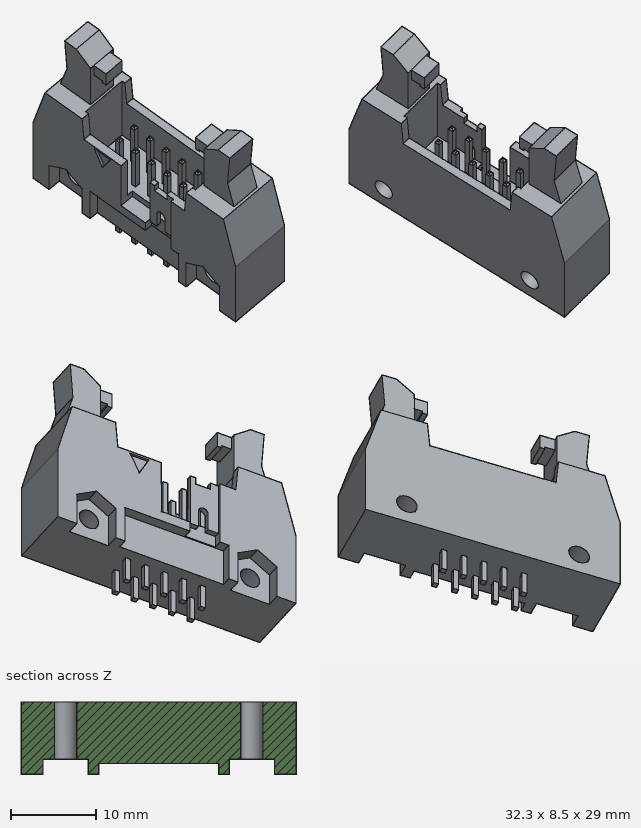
import cadquery as cq
import math

body_length = 32.3
body_depth = 8.5
front_y = -body_depth / 2
shoulder_z = 17.35
wall_top_z = 13.8
taper_start_z = 10.15
tower_outer_x = 14.2
tower_inner_x = 8.3
gap_bottom_x = 8.0

cavity_length = 17.5
cavity_width = 6.3
cavity_floor_z = 7.4
cavity_front_y = -cavity_width / 2

key_width = 4.2
key_bottom_z = 6.45
key_back_y = -2.3
relief_left_x = 1.77
relief_right_x = 5.85
flap_bottom_z = 6.65
flap_front_y = -3.82
flap_notch_left_x = 2.83
flap_notch_right_x = 4.8
flap_notch_bottom_z = 12.87
flap_slot_x = 3.84
flap_slot_width = 1.27
flap_slot_crown_z = 9.63
flap_slot_side_z = flap_slot_crown_z - flap_slot_width / 2
base_relief_length = 14.05
base_relief_top_z = 5.05
base_relief_depth = 1.25

mount_x = 10.92
mount_z = 2.9
mount_hole_diameter = 2.6
nut_flats = 5.26
nut_slot_depth = 1.75

pitch = 2.54
columns = 5
pin_size = 0.64
pin_bottom_z = -3.2
pin_top_z = 13.7
pin_tip_inset = 0.2

mark_x = -pitch * (columns - 1) / 2
mark_width = 2.56
mark_top_z = 13.5
mark_bottom_z = 11.05
mark_depth = 0.3

latch_top_z = 25.75
latch_width = 4.0
latch_inner_x = 9.05
latch_base_x = 13.83
latch_waist_x = 12.8
latch_waist_z = 20.85
latch_top_outer_x = 13.15
latch_top_inner_x = 11.3
hook_width = 2.8
hook_top_z = 24.05
hook_tip_x = 7.12
hook_underside_z = 22.3
lip_x = 7.75
lip_bottom_z = 22.0


def box(x_range, y_range, z_range):
    """Axis-aligned box between the given limits."""
    lengths = [high - low for low, high in (x_range, y_range, z_range)]
    corner = (x_range[0], y_range[0], z_range[0])
    return cq.Workplane("XY").box(*lengths, centered=False).translate(corner)


def prism(points, y_start, y_end):
    """Extrude an XZ outline from y_start to y_end."""
    plane = cq.Workplane("XZ", origin=(0, y_end, 0))
    return plane.polyline(points).close().extrude(y_end - y_start)


def mirrored_pair(shape):
    """A shape together with its mirror image across the YZ plane."""
    return shape.union(shape.mirror("YZ"))


def make_housing():
    right_side = [
        (body_length / 2, 0),
        (body_length / 2, taper_start_z),
        (tower_outer_x, shoulder_z),
        (tower_inner_x, shoulder_z),
        (gap_bottom_x, wall_top_z),
    ]
    left_side = [(-x, z) for x, z in reversed(right_side)]
    housing = prism(right_side + left_side, front_y, -front_y)
    cavity = box(
        (-cavity_length / 2, cavity_length / 2),
        (cavity_front_y, -cavity_front_y),
        (cavity_floor_z, shoulder_z),
    )
    return housing.cut(cavity)


def make_key_slot():
    return box((-key_width / 2, key_width / 2), (front_y, key_back_y), (key_bottom_z, wall_top_z))


def make_flap_relief():
    """Front wall recess that leaves a thin flap beside the key slot, with its notch and arched slot."""
    below_flap = box(
        (relief_left_x, relief_right_x), (front_y, cavity_front_y), (base_relief_top_z, flap_bottom_z)
    )
    over_flap = box(
        (key_width / 2, relief_right_x), (front_y, flap_front_y), (flap_bottom_z, wall_top_z)
    )
    notch = box(
        (flap_notch_left_x, flap_notch_right_x),
        (front_y, cavity_front_y),
        (flap_notch_bottom_z, wall_top_z),
    )
    slot_left_x = flap_slot_x - flap_slot_width / 2
    slot_right_x = flap_slot_x + flap_slot_width / 2
    slot = (
        cq.Workplane("XZ", origin=(0, cavity_front_y, 0))
        .moveTo(slot_left_x, flap_bottom_z)
        .lineTo(slot_left_x, flap_slot_side_z)
        .threePointArc((flap_slot_x, flap_slot_crown_z), (slot_right_x, flap_slot_side_z))
        .lineTo(slot_right_x, flap_bottom_z)
        .close()
        .extrude(cavity_front_y - front_y)
    )
    return below_flap.union(over_flap).union(notch).union(slot)


def make_base_relief():
    return box(
        (-base_relief_length / 2, base_relief_length / 2),
        (front_y, front_y + base_relief_depth),
        (0, base_relief_top_z),
    )


def make_mount():
    """Through hole and open-bottomed nut slot of the +X end."""
    half_flats = nut_flats / 2
    corner_radius = nut_flats / math.sqrt(3)
    corner_z = mount_z + corner_radius / 2
    slot_outline = [
        (mount_x - half_flats, 0),
        (mount_x - half_flats, corner_z),
        (mount_x, mount_z + corner_radius),
        (mount_x + half_flats, corner_z),
        (mount_x + half_flats, 0),
    ]
    nut_slot = prism(slot_outline, front_y, front_y + nut_slot_depth)
    hole = (
        cq.Workplane("XZ", origin=(mount_x, -front_y, mount_z))
        .circle(mount_hole_diameter / 2)
        .extrude(body_depth)
    )
    return nut_slot.union(hole)


def make_pin_mark():
    outline = [
        (mark_x - mark_width / 2, mark_top_z),
        (mark_x + mark_width / 2, mark_top_z),
        (mark_x, mark_bottom_z),
    ]
    return prism(outline, front_y, front_y + mark_depth)


def make_latch():
    """The +X latch: a waisted lever with a hook reaching inwards."""
    lever = prism(
        [
            (latch_inner_x, shoulder_z),
            (latch_base_x, shoulder_z),
            (latch_waist_x, latch_waist_z),
            (latch_top_outer_x, latch_top_z),
            (latch_top_inner_x, latch_top_z),
            (latch_inner_x, hook_top_z),
        ],
        -latch_width / 2,
        latch_width / 2,
    )
    hook = prism(
        [
            (latch_inner_x, hook_top_z),
            (hook_tip_x, hook_top_z),
            (hook_tip_x, lip_bottom_z),
            (lip_x, lip_bottom_z),
            (lip_x, hook_underside_z),
            (latch_inner_x, hook_underside_z),
        ],
        -hook_width / 2,
        hook_width / 2,
    )
    return lever.union(hook)


def make_pin(x, y):
    """Square pin through the cavity floor, bevelled at its upper tip."""
    return (
        cq.Workplane("XY", origin=(x, y, pin_bottom_z))
        .rect(pin_size, pin_size)
        .extrude(pin_top_z - pin_bottom_z)
        .faces(">Z")
        .chamfer(pin_tip_inset)
    )


result = make_housing()
result = result.cut(make_key_slot())
result = result.cut(make_flap_relief())
result = result.cut(make_base_relief())
result = result.cut(mirrored_pair(make_mount()))
result = result.cut(make_pin_mark())
result = result.union(mirrored_pair(make_latch()))
for column in range(columns):
    pin_x = (column - (columns - 1) / 2) * pitch
    for pin_y in (-pitch / 2, pitch / 2):
        result = result.union(make_pin(pin_x, pin_y))